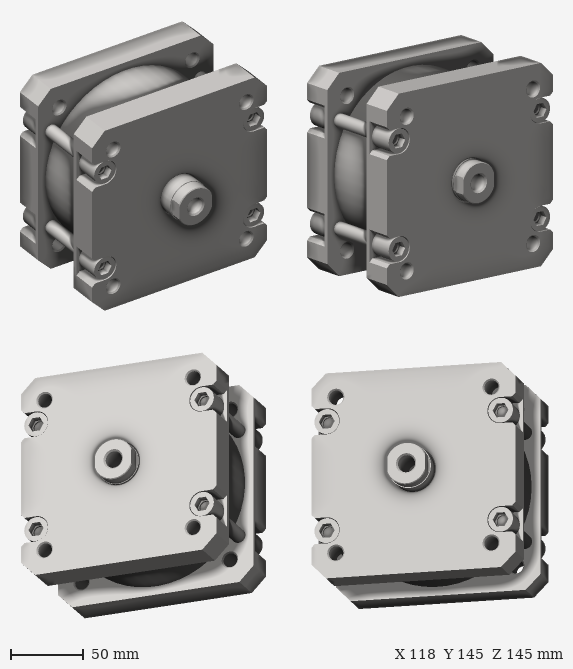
import cadquery as cq
import math


plate_side = 145.0
plate_corner_chamfer = 10.5
plate_thickness = 22.5
plate_outer_x = 44.2
plate_inner_x = plate_outer_x - plate_thickness

mount_hole_offset = 55.1
mount_hole_diameter = 10.2
mount_hole_chamfer = 1.0

pocket_width = 18.4
pocket_depth = 19.1
pocket_mouth_chamfer = 2.5

tie_y = 61.6
tie_z = 38.5
tie_diameter = 10.0
head_diameter = 17.5
head_recess = 0.6
socket_across_flats = 9.7
socket_depth = 5.8
socket_pilot_diameter = 8.4
socket_pilot_depth = 1.5

barrel_diameter = 132.7

rod_diameter = 30.3
rod_length = 118.0
rod_shift = 5.0
rod_end_diameter = 29.3
rod_end_length = 9.1
rod_end_chamfer = 0.6
rod_bore_chamfer = 0.9

flat_across = 26.7
flat_length = 8.3
flat_runout_angle = 45.0

end_hole_diameter = 12.0
end_hole_depth = 29.0
end_hole_chamfer = 1.2
drill_point_angle = 118.0

SIDES = (-1, 1)
tie_places = [(y * tie_y, z * tie_z) for y in SIDES for z in SIDES]
mount_places = [(y * mount_hole_offset, z * mount_hole_offset) for y in SIDES for z in SIDES]


def x_cylinder(diameter, x_start, x_end, places=((0, 0),)):
    """Cylinders along X between two X positions, centred at the given (Y, Z) places."""
    return (
        cq.Workplane("YZ", origin=(x_start, 0, 0))
        .pushPoints(places)
        .circle(diameter / 2)
        .extrude(x_end - x_start)
    )


def mirror_x(body):
    return body.mirror("YZ")


def make_head_pocket(y_side, z_side):
    """Round-ended pocket in the -X plate with 45 degree flares at its open side."""
    half_width = pocket_width / 2
    mouth_y = plate_side / 2
    mouth_half_width = half_width + pocket_mouth_chamfer
    flare_y = mouth_y - pocket_mouth_chamfer
    pocket = (
        cq.Workplane("YZ", origin=(-plate_outer_x, 0, 0))
        .moveTo(mouth_y, -mouth_half_width)
        .lineTo(mouth_y, mouth_half_width)
        .lineTo(flare_y, half_width)
        .lineTo(tie_y, half_width)
        .threePointArc((tie_y - half_width, 0), (tie_y, -half_width))
        .lineTo(flare_y, -half_width)
        .close()
        .extrude(pocket_depth)
    )
    if y_side < 0:
        pocket = pocket.mirror("XZ")
    return pocket.translate((0, 0, z_side * tie_z))


def make_end_plate():
    """The -X end plate."""
    plate = (
        cq.Workplane("YZ", origin=(-plate_outer_x, 0, 0))
        .rect(plate_side, plate_side)
        .extrude(plate_thickness)
        .edges("|X")
        .chamfer(plate_corner_chamfer)
    )

    mount_holes = x_cylinder(mount_hole_diameter, -plate_outer_x, -plate_inner_x, mount_places)
    plate = plate.cut(mount_holes)
    for y, z in mount_places:
        for x in (-plate_outer_x, -plate_inner_x):
            rim = cq.selectors.NearestToPointSelector((x, y, z))
            plate = plate.edges("%CIRCLE").edges(rim).chamfer(mount_hole_chamfer)

    plate = plate.cut(x_cylinder(rod_diameter, -plate_outer_x, -plate_inner_x))
    plate = plate.faces("<X").edges(cq.selectors.RadiusNthSelector(-1)).chamfer(rod_bore_chamfer)

    plate = plate.cut(x_cylinder(tie_diameter, -plate_outer_x, -plate_inner_x, tie_places))
    for y_side in SIDES:
        for z_side in SIDES:
            plate = plate.cut(make_head_pocket(y_side, z_side))
    return plate


def make_barrel():
    """Barrel with a bore that fits the rod."""
    outside = x_cylinder(barrel_diameter, -plate_inner_x, plate_inner_x)
    return outside.cut(x_cylinder(rod_diameter, -plate_inner_x, plate_inner_x))


def make_flat_cutter():
    """Wedge that cuts the -Y wrench flat and its sloping runout at the -X rod end."""
    end_x = -rod_length / 2
    flat_end_x = end_x + flat_length
    flat_y = -flat_across / 2
    outer_y = -rod_end_diameter / 2
    runout_length = (flat_y - outer_y) / math.tan(math.radians(flat_runout_angle))
    return (
        cq.Workplane("XY")
        .moveTo(end_x, flat_y)
        .lineTo(flat_end_x, flat_y)
        .lineTo(flat_end_x + runout_length, outer_y)
        .lineTo(end_x, outer_y)
        .close()
        .extrude(rod_diameter / 2, both=True)
    )


def make_end_hole():
    """Blind drilled hole with a chamfered mouth at the -X rod end."""
    end_x = -rod_length / 2
    radius = end_hole_diameter / 2
    bottom_x = end_x + end_hole_depth
    tip_x = bottom_x + radius / math.tan(math.radians(drill_point_angle / 2))
    return (
        cq.Workplane("XY")
        .moveTo(end_x, 0)
        .lineTo(end_x, radius + end_hole_chamfer)
        .lineTo(end_x + end_hole_chamfer, radius)
        .lineTo(bottom_x, radius)
        .lineTo(tip_x, 0)
        .close()
        .revolve(360, (0, 0, 0), (1, 0, 0))
    )


def make_piston_rod():
    """Through rod with identical ends, built about the origin and then displaced."""
    end_x = rod_length / 2
    shoulder_x = end_x - rod_end_length
    rod = x_cylinder(rod_diameter, -shoulder_x, shoulder_x)
    ends = x_cylinder(rod_end_diameter, -end_x, end_x).faces("<X or >X").chamfer(rod_end_chamfer)
    rod = rod.union(ends)

    flat_cutter = make_flat_cutter()
    end_hole = make_end_hole()
    for cutter in (flat_cutter, flat_cutter.mirror("XZ"), end_hole):
        rod = rod.cut(cutter).cut(mirror_x(cutter))
    return rod.translate((rod_shift, 0, 0))


def make_head():
    """The -X tie rod head with its hexagon socket, centred on the X axis."""
    face_x = -plate_outer_x + head_recess
    seat_x = -plate_outer_x + pocket_depth
    socket_bottom_x = face_x + socket_depth
    socket_across_corners = socket_across_flats / math.cos(math.pi / 6)
    socket = (
        cq.Workplane("YZ", origin=(face_x, 0, 0))
        .polygon(6, socket_across_corners)
        .extrude(socket_depth)
    )
    pilot = x_cylinder(socket_pilot_diameter, face_x, socket_bottom_x + socket_pilot_depth)
    return x_cylinder(head_diameter, face_x, seat_x).cut(socket).cut(pilot)


def make_tie_rod(y, z):
    """Tie rod with a head at each end."""
    seat_x = plate_outer_x - pocket_depth
    head = make_head()
    tie_rod = x_cylinder(tie_diameter, -seat_x, seat_x).union(head).union(mirror_x(head))
    return tie_rod.translate((0, y, z))


left_plate = make_end_plate()
right_plate = mirror_x(left_plate)
barrel = make_barrel()
piston_rod = make_piston_rod()
tie_rods = [make_tie_rod(y, z) for y, z in tie_places]

result = cq.Compound.makeCompound(
    [left_plate.val(), right_plate.val(), barrel.val(), piston_rod.val()]
    + [tie_rod.val() for tie_rod in tie_rods]
)